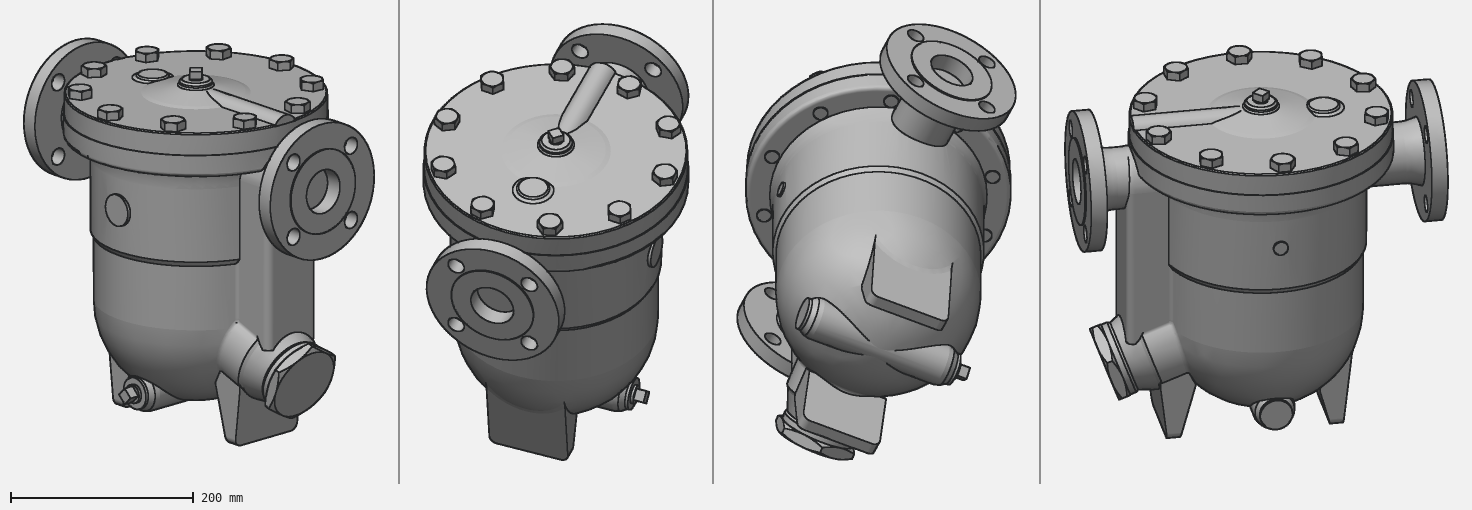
import cadquery as cq
import math

INLET_FACE_X = -195.0
OUTLET_FACE_X = 205.0

LID_RADIUS = 144.0
LID_TOP_Z = 64.8
LID_SPLIT_Z = 39.6
LID_EDGE = 1.5
RIM_RADIUS = 145.0
RIM_BOTTOM_Z = 14.0
RIM_EDGE = 5.0
NECK_TOP_RADIUS = 118.8
NECK_BOTTOM_Z = -9.0
SHOULDER_RADIUS = 115.5
SHOULDER_BOTTOM_Z = -93.0
STEP_BOTTOM_Z = -99.0
SHELL_RADIUS = 112.0
DOME_CENTER_Z = -172.7
SEAM_ANGLE = 45.0

BOLT_COUNT = 10
BOLT_CIRCLE_RADIUS = 127.5
BOLT_FLATS = 24.0
BOLT_HEAD_HEIGHT = 10.0
BOLT_SHANK_DIAMETER = 16.0
BOLT_PROTRUSION = 1.5

CROWN_RADIUS = 60.0
CROWN_FOOT_RADIUS = 54.5
CROWN_FOOT_HEIGHT = 1.5
CROWN_HEIGHT = 8.5
VENT_BOSS_RADIUS = 18.0
VENT_BOSS_BASE_RADIUS = 20.0
VENT_BOSS_HEIGHT = 15.2
VENT_BOSS_EDGE = 2.5
LID_PAD_X = -69.6
LID_PAD_RADIUS = 18.0
LID_PAD_BASE_RADIUS = 22.5
LID_PAD_HEIGHT = 4.0
LID_PAD_EDGE = 2.0
RIDGE_WIDTH = 29.4
RIDGE_HEIGHT = 8.5
RIDGE_END_X = LID_RADIUS

PLUG_DIAGONAL = 18.5
VENT_PLUG_NECK_DIAMETER = 15.0
VENT_PLUG_NECK = 1.4
VENT_PLUG_HEAD = 9.0
DRAIN_PLUG_NECK_DIAMETER = 21.0
DRAIN_PLUG_NECK = 3.3
DRAIN_PLUG_HEAD = 11.7

FLANGE_DIAMETER = 155.0
FLANGE_THICKNESS = 18.0
RAISED_FACE_DIAMETER = 96.0
RAISED_FACE_HEIGHT = 1.5
PIPE_RADIUS = 34.0
HUB_RADIUS = 38.0
HUB_LENGTH = 20.0
BORE_DIAMETER = 50.0
BORE_DEPTH = 20.0
FLANGE_HOLE_DIAMETER = 19.0
FLANGE_HOLE_CIRCLE = 121.0
FLANGE_HOLE_COUNT = 4
FLANGE_HOLE_START_ANGLE = 45.0

RISER_OUTER_X = 155.6
RISER_BOTTOM_Z = -188.5
RISER_EDGE = 8.0
RISER_HALF_WIDTH = 36.3
RISER_ARCH_Z = -2.0

STRAINER_TILT = 20.0
STRAINER_ORIGIN_Z = -166.0
STRAINER_RADIUS = 51.7
STRAINER_END = 135.0
STRAINER_CONE_START = 139.0
STRAINER_CONE_RADIUS = 49.0
STRAINER_NECK_START = 162.0
STRAINER_NECK_RADIUS = 40.0
STRAINER_COLLAR_START = 165.0
STRAINER_COLLAR_RADIUS = 41.5
CAP_START = 172.0
CAP_THICKNESS = 13.5
CAP_FLATS = 84.0

FOOT_BOTTOM_Z = -306.6
FOOT_WIDTH = 92.0
FOOT_CORNER = 9.0
FOOT_TIP = 13.7
LEFT_FOOT_CENTER_X = -76.0
LEFT_FOOT_ROOT_X = -93.3
LEFT_FOOT_TOP_Z = -213.0
LEFT_FOOT_INNER_X = -57.0
LEFT_FOOT_INNER_Z = -262.0
RIGHT_FOOT_CENTER_X = 105.8
RIGHT_FOOT_OUTER_X = 120.5
RIGHT_FOOT_INNER_X = 81.0
RIGHT_FOOT_SHOULDER_Z = -240.0
RIGHT_FOOT_ROOT_X = 90.0
RIGHT_FOOT_TOP_Z = -222.0

DRAIN_Z = -262.0
DRAIN_RADIUS = 23.4
DRAIN_END_RADIUS = 18.0
DRAIN_HALF_LENGTH = 91.0
DRAIN_SHOULDER_START = 75.0
DRAIN_SHOULDER_END = 81.0
DRAIN_SHOULDER_RADIUS = 22.0
DRAIN_TAPER_END = 87.5

JOINT_FILLET = 5.0
JOINT_REACH = 1.0
FOOT_FILLET = 12.0

FRONT_PAD_DIAMETER = 36.0
FRONT_PAD_Y = -118.0
FRONT_PAD_Z = -45.0
BACK_PAD_DIAMETER = 16.0
BACK_PAD_Y = 117.5
BACK_PAD_Z = -42.0


def hexagon(flats):
    """Corner-to-corner size of a hexagon from its size across flats."""
    return flats / math.cos(math.radians(30))


def hex_head(flats, height):
    """Hexagonal head on Z = 0 whose top corners are turned down to a cone."""
    corner = hexagon(flats) / 2
    drop = (corner - flats / 2) * math.tan(math.radians(30))
    head = cq.Workplane("XY").polygon(6, 2 * corner).extrude(height)
    cone = turned([
        (0, 0),
        (corner, 0),
        (corner, height - drop),
        (flats / 2, height),
        (0, height),
    ])
    return head.intersect(cone)


def square_plug(neck_diameter, neck_length, head_length):
    """Plug along +Z: round neck from Z = 0, then a square head standing on its corner."""
    neck = cq.Workplane("XY").circle(neck_diameter / 2).extrude(neck_length)
    head = cq.Workplane("XY").workplane(offset=neck_length).polygon(4, PLUG_DIAGONAL)
    return neck.union(head.extrude(head_length))


def turned(points):
    """Solid of revolution about Z from (radius, height) points, closed along the axis."""
    return cq.Workplane("XZ").polyline(points).close().revolve(360, (0, 0), (0, 1))


def make_vessel():
    """Lid, rim, flared neck, stepped shell and domed bottom as one turned body."""
    neck_run = RIM_BOTTOM_Z - NECK_BOTTOM_Z
    neck_flare = NECK_TOP_RADIUS - SHOULDER_RADIUS
    neck_arc_radius = (neck_run**2 + neck_flare**2) / (2 * neck_flare)
    outline = (
        cq.Workplane("XZ")
        .moveTo(0, LID_TOP_Z)
        .lineTo(LID_RADIUS - LID_EDGE, LID_TOP_Z)
        .lineTo(LID_RADIUS, LID_TOP_Z - LID_EDGE)
        .lineTo(LID_RADIUS, LID_SPLIT_Z)
        .lineTo(RIM_RADIUS, LID_SPLIT_Z)
        .lineTo(RIM_RADIUS, RIM_BOTTOM_Z + RIM_EDGE)
        .radiusArc((RIM_RADIUS - RIM_EDGE, RIM_BOTTOM_Z), RIM_EDGE)
        .lineTo(NECK_TOP_RADIUS, RIM_BOTTOM_Z)
        .radiusArc((SHOULDER_RADIUS, NECK_BOTTOM_Z), -neck_arc_radius)
        .lineTo(SHOULDER_RADIUS, SHOULDER_BOTTOM_Z)
        .lineTo(SHELL_RADIUS, STEP_BOTTOM_Z)
        .lineTo(SHELL_RADIUS, DOME_CENTER_Z)
        .radiusArc((0, DOME_CENTER_Z - SHELL_RADIUS), SHELL_RADIUS)
        .close()
    )
    vessel = outline.revolve(360, (0, 0), (0, 1))
    return vessel.rotate((0, 0, 0), (0, 0, 1), SEAM_ANGLE)


def make_bolts():
    """Ring of lid bolts whose shanks reach just below the rim."""
    shank_length = LID_TOP_Z - RIM_BOTTOM_Z + BOLT_PROTRUSION
    shank = cq.Workplane("XY").circle(BOLT_SHANK_DIAMETER / 2).extrude(-shank_length)
    bolt = hex_head(BOLT_FLATS, BOLT_HEAD_HEIGHT).union(shank)
    bolt = bolt.translate((0, BOLT_CIRCLE_RADIUS, LID_TOP_Z))
    bolts = cq.Workplane("XY")
    for index in range(BOLT_COUNT):
        bolts = bolts.add(bolt.rotate((0, 0, 0), (0, 0, 1), index * 360 / BOLT_COUNT))
    return bolts.combine()


def make_lid_features():
    """Conical crown with vent boss and plug, round side pad and the ridge toward +X."""
    crown = turned([
        (0, 0),
        (CROWN_RADIUS, 0),
        (CROWN_FOOT_RADIUS, CROWN_FOOT_HEIGHT),
        (VENT_BOSS_BASE_RADIUS, CROWN_HEIGHT),
        (VENT_BOSS_RADIUS, CROWN_HEIGHT + VENT_BOSS_BASE_RADIUS - VENT_BOSS_RADIUS),
        (VENT_BOSS_RADIUS, VENT_BOSS_HEIGHT - VENT_BOSS_EDGE),
        (VENT_BOSS_RADIUS - VENT_BOSS_EDGE, VENT_BOSS_HEIGHT),
        (0, VENT_BOSS_HEIGHT),
    ])
    plug = square_plug(VENT_PLUG_NECK_DIAMETER, VENT_PLUG_NECK, VENT_PLUG_HEAD)
    plug = plug.translate((0, 0, VENT_BOSS_HEIGHT))
    pad = turned([
        (0, 0),
        (LID_PAD_BASE_RADIUS, 0),
        (LID_PAD_RADIUS, LID_PAD_HEIGHT - LID_PAD_EDGE),
        (LID_PAD_RADIUS - LID_PAD_EDGE, LID_PAD_HEIGHT),
        (0, LID_PAD_HEIGHT),
    ]).translate((LID_PAD_X, 0, 0))
    ridge = (
        cq.Workplane("YZ")
        .moveTo(-RIDGE_WIDTH / 2, 0)
        .threePointArc((0, RIDGE_HEIGHT), (RIDGE_WIDTH / 2, 0))
        .lineTo(RIDGE_WIDTH / 2, -LID_EDGE)
        .lineTo(-RIDGE_WIDTH / 2, -LID_EDGE)
        .close()
        .extrude(RIDGE_END_X)
    )
    return crown.union(plug).union(pad).union(ridge).translate((0, 0, LID_TOP_Z))


def make_flanged_pipe(length):
    """Pipe along +Z from the vessel axis, ending in a flange whose face is at Z = length."""
    flange_front = length - RAISED_FACE_HEIGHT
    flange_back = flange_front - FLANGE_THICKNESS
    hub_start = flange_back - HUB_LENGTH
    hub_rise = HUB_RADIUS - PIPE_RADIUS
    hub_arc_radius = (HUB_LENGTH**2 + hub_rise**2) / (2 * hub_rise)
    return (
        cq.Workplane("XZ")
        .lineTo(PIPE_RADIUS, 0)
        .lineTo(PIPE_RADIUS, hub_start)
        .radiusArc((HUB_RADIUS, flange_back), hub_arc_radius)
        .lineTo(FLANGE_DIAMETER / 2, flange_back)
        .lineTo(FLANGE_DIAMETER / 2, flange_front)
        .lineTo(RAISED_FACE_DIAMETER / 2, flange_front)
        .lineTo(RAISED_FACE_DIAMETER / 2, length)
        .lineTo(0, length)
        .close()
        .revolve(360, (0, 0), (0, 1))
    )


def make_flange_cuts(length):
    """Blind bore and bolt holes of a flange whose face is at Z = length."""
    face = cq.Workplane("XY").workplane(offset=length)
    bore = face.circle(BORE_DIAMETER / 2).extrude(-BORE_DEPTH)
    holes = (
        cq.Workplane("XY")
        .workplane(offset=length)
        .polarArray(FLANGE_HOLE_CIRCLE / 2, FLANGE_HOLE_START_ANGLE, 360, FLANGE_HOLE_COUNT)
        .circle(FLANGE_HOLE_DIAMETER / 2)
        .extrude(-(FLANGE_THICKNESS + RAISED_FACE_HEIGHT))
    )
    return bore.union(holes)


def along_x(shape, end_x):
    """Turn a shape built along +Z to point along X, toward the given end."""
    return shape.rotate((0, 0, 0), (0, 1, 0), math.copysign(90, end_x))


def make_riser():
    """Column below the outlet pipe: flat sides, arched top, rounded outer edges."""
    return (
        cq.Workplane("YZ")
        .moveTo(-RISER_HALF_WIDTH, RISER_BOTTOM_Z)
        .lineTo(-RISER_HALF_WIDTH, RISER_ARCH_Z)
        .threePointArc((0, RISER_ARCH_Z + RISER_HALF_WIDTH), (RISER_HALF_WIDTH, RISER_ARCH_Z))
        .lineTo(RISER_HALF_WIDTH, RISER_BOTTOM_Z)
        .close()
        .extrude(RISER_OUTER_X)
        .faces(">X")
        .edges("not <Z")
        .fillet(RISER_EDGE)
    )


def make_strainer():
    """Housing and hexagonal cap on an axis that slopes down toward +X."""
    housing = turned([
        (0, 0),
        (STRAINER_RADIUS, 0),
        (STRAINER_RADIUS, STRAINER_END),
        (STRAINER_CONE_RADIUS, STRAINER_CONE_START),
        (STRAINER_NECK_RADIUS, STRAINER_NECK_START),
        (STRAINER_COLLAR_RADIUS, STRAINER_COLLAR_START),
        (STRAINER_COLLAR_RADIUS, CAP_START),
        (0, CAP_START),
    ])
    cap = hex_head(CAP_FLATS, CAP_THICKNESS)
    cap = cap.intersect(cap.mirror("XY").translate((0, 0, CAP_THICKNESS)))
    cap = cap.translate((0, 0, CAP_START))
    strainer = housing.union(cap).rotate((0, 0, 0), (0, 1, 0), 90 + STRAINER_TILT)
    return strainer.translate((0, 0, STRAINER_ORIGIN_Z))


def make_foot(profile):
    """Foot of constant width along Y."""
    return cq.Workplane("XZ").polyline(profile).close().extrude(FOOT_WIDTH / 2, both=True)


def make_feet():
    """Both tapered feet, with their lower corners rounded."""
    left = make_foot([
        (LEFT_FOOT_CENTER_X - FOOT_TIP / 2, FOOT_BOTTOM_Z),
        (LEFT_FOOT_CENTER_X + FOOT_TIP / 2, FOOT_BOTTOM_Z),
        (LEFT_FOOT_INNER_X, LEFT_FOOT_INNER_Z),
        (LEFT_FOOT_INNER_X, LEFT_FOOT_TOP_Z),
        (LEFT_FOOT_ROOT_X, LEFT_FOOT_TOP_Z),
    ])
    right = make_foot([
        (RIGHT_FOOT_CENTER_X - FOOT_TIP / 2, FOOT_BOTTOM_Z),
        (RIGHT_FOOT_CENTER_X + FOOT_TIP / 2, FOOT_BOTTOM_Z),
        (RIGHT_FOOT_OUTER_X, RIGHT_FOOT_SHOULDER_Z),
        (RIGHT_FOOT_OUTER_X, RIGHT_FOOT_TOP_Z),
        (RIGHT_FOOT_ROOT_X, RIGHT_FOOT_TOP_Z),
        (RIGHT_FOOT_INNER_X, RIGHT_FOOT_SHOULDER_Z),
    ])
    feet = left.union(right)
    envelope = (
        cq.Workplane("YZ")
        .rect(FOOT_WIDTH, -2 * FOOT_BOTTOM_Z)
        .extrude(OUTLET_FACE_X, both=True)
        .edges("|X")
        .fillet(FOOT_CORNER)
    )
    return feet.intersect(envelope)


def make_drain():
    """Cross pipe along Y through the dome, with a plug at its -Y end."""
    half_drain = turned([
        (0, 0),
        (DRAIN_RADIUS, 0),
        (DRAIN_RADIUS, DRAIN_SHOULDER_START),
        (DRAIN_SHOULDER_RADIUS, DRAIN_SHOULDER_END),
        (DRAIN_END_RADIUS, DRAIN_TAPER_END),
        (DRAIN_END_RADIUS, DRAIN_HALF_LENGTH),
        (0, DRAIN_HALF_LENGTH),
    ])
    drain = half_drain.union(half_drain.mirror("XY"))
    plug = square_plug(DRAIN_PLUG_NECK_DIAMETER, DRAIN_PLUG_NECK, DRAIN_PLUG_HEAD)
    drain = drain.union(plug.translate((0, 0, DRAIN_HALF_LENGTH)))
    return drain.rotate((0, 0, 0), (1, 0, 0), 90).translate((0, 0, DRAIN_Z))


def make_shell_pad(diameter, end_y, height):
    """Round pad along Y from the vessel axis to the given end."""
    pad = cq.Workplane("XZ").center(0, height).circle(diameter / 2)
    return pad.extrude(-end_y)


def fillet_in_box(body, edge_filter, low_corner, high_corner, radius):
    """Fillet the edges passing the filter whose centers lie in the box."""
    edges = body.edges(edge_filter).edges(cq.selectors.BoxSelector(low_corner, high_corner))
    return edges.fillet(radius)


def make_casting():
    """Vessel, drain, strainer, riser and feet, with the fillets where they meet."""
    low_z = DOME_CENTER_Z - SHELL_RADIUS
    high_z = STEP_BOTTOM_Z
    low = (STRAINER_RADIUS, -FOOT_WIDTH, low_z)
    high = (STRAINER_END, FOOT_WIDTH, high_z)
    casting = make_vessel().union(make_drain()).union(make_strainer())
    casting = fillet_in_box(casting, "%BSPLINE", low, high, JOINT_FILLET)

    casting = casting.union(make_riser())
    for side in (-1, 1):
        side_y = side * RISER_HALF_WIDTH
        root_low = (SHELL_RADIUS - RISER_EDGE, side_y - JOINT_REACH, DOME_CENTER_Z)
        root_high = (SHELL_RADIUS, side_y + JOINT_REACH, high_z)
        casting = fillet_in_box(casting, "|Z", root_low, root_high, JOINT_FILLET)

    casting = casting.union(make_feet())
    foot_low = (-SHELL_RADIUS, -FOOT_WIDTH / 4, low_z)
    foot_high = (LEFT_FOOT_CENTER_X, FOOT_WIDTH / 4, DOME_CENTER_Z)
    return fillet_in_box(casting, "%CIRCLE", foot_low, foot_high, FOOT_FILLET)


result = make_casting()
for end_x in (INLET_FACE_X, OUTLET_FACE_X):
    result = result.union(along_x(make_flanged_pipe(abs(end_x)), end_x))
result = (
    result.union(make_shell_pad(FRONT_PAD_DIAMETER, FRONT_PAD_Y, FRONT_PAD_Z))
    .union(make_shell_pad(BACK_PAD_DIAMETER, BACK_PAD_Y, BACK_PAD_Z))
    .union(make_lid_features())
    .union(make_bolts())
)
for end_x in (INLET_FACE_X, OUTLET_FACE_X):
    result = result.cut(along_x(make_flange_cuts(abs(end_x)), end_x))